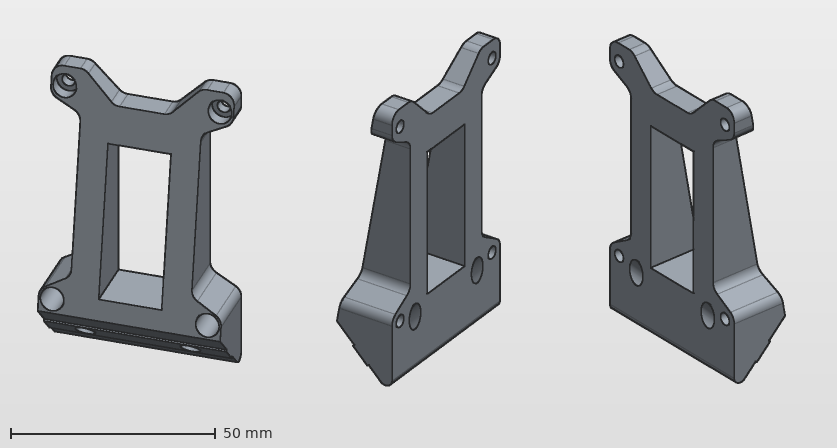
import cadquery as cq
import math

HEIGHT = 77.2
WIDTH = 47.0
HALF_WIDTH = WIDTH / 2
DEPTH = 16.3
CORNER_RADIUS = 3.0

FRONT_EDGE_Z = 13.5
FRONT_LEAN = math.radians(10)
TOE_RADIUS = (DEPTH - FRONT_EDGE_Z) / math.sqrt(2)

WAIST_HALF_WIDTH = 15.5
NOTCH_DEPTH = 8.0
NOTCH_FLOOR_HALF_WIDTH = 7.0
UPPER_ARM_OUTER_Z = 69.45
UPPER_ARM_INNER_Z = 65.5
LOWER_ARM_OUTER_Z = 19.1
LOWER_ARM_INNER_Z = 23.8

WINDOW_WIDTH = 16.2
WINDOW_BOTTOM_Z = 19.05
WINDOW_HEIGHT = 40.1

CORNER_HOLE_X = 20.0
LOWER_HOLE_Z = 17.1
UPPER_HOLE_Z = 72.1
SCREW_DIAMETER = 3.3
COUNTERBORE_DIAMETER = 6.0
SCREW_SEAT_THICKNESS = 3.0

RIB_CENTER_Z = 6.25
RIB_WIDTH = 6.0
RIB_HEIGHT = 0.5
MOUNT_HOLE_X = 13.5
MOUNT_HOLE_DIAMETER = 5.0


def make_wedge():
    """Side profile extruded over the full width, with a rounded toe."""
    top_depth = DEPTH - (HEIGHT - FRONT_EDGE_Z) * math.tan(FRONT_LEAN)
    profile = [
        (0, HEIGHT),
        (-top_depth, HEIGHT),
        (-DEPTH, FRONT_EDGE_Z),
        (0, FRONT_EDGE_Z - DEPTH),
    ]
    wedge = cq.Workplane("YZ").polyline(profile).close().extrude(HALF_WIDTH, both=True)
    return wedge.edges("<Z").fillet(TOE_RADIUS)


def make_outline():
    """Frontal silhouette with rounded arms and waist, reaching below the toe."""
    right_half = [
        (NOTCH_FLOOR_HALF_WIDTH, HEIGHT - NOTCH_DEPTH),
        (NOTCH_FLOOR_HALF_WIDTH + NOTCH_DEPTH, HEIGHT),
        (HALF_WIDTH, HEIGHT),
        (HALF_WIDTH, UPPER_ARM_OUTER_Z),
        (WAIST_HALF_WIDTH, UPPER_ARM_INNER_Z),
        (WAIST_HALF_WIDTH, LOWER_ARM_INNER_Z),
        (HALF_WIDTH, LOWER_ARM_OUTER_Z),
        (HALF_WIDTH, -DEPTH),
    ]
    left_half = [(-x, z) for x, z in reversed(right_half)]
    outline = cq.Workplane("XZ").polyline(right_half + left_half).close().extrude(DEPTH)
    above_front_edge = cq.selectors.BoxSelector(
        (-HEIGHT, -HEIGHT, 0), (HEIGHT, HEIGHT, 2 * HEIGHT)
    )
    return outline.edges("|Y").edges(above_front_edge).fillet(CORNER_RADIUS)


def make_window():
    """Rectangular through opening."""
    center_z = WINDOW_BOTTOM_Z + WINDOW_HEIGHT / 2
    return cq.Workplane("XZ").center(0, center_z).rect(WINDOW_WIDTH, WINDOW_HEIGHT).extrude(DEPTH)


def make_corner_holes():
    """Four screw holes whose counterbores leave equally thick seats at the back."""
    centers = [(x, z) for x in (-CORNER_HOLE_X, CORNER_HOLE_X) for z in (LOWER_HOLE_Z, UPPER_HOLE_Z)]
    screws = cq.Workplane("XZ").pushPoints(centers).circle(SCREW_DIAMETER / 2).extrude(DEPTH)
    counterbores = (
        cq.Workplane("XZ", origin=(0, -SCREW_SEAT_THICKNESS, 0))
        .pushPoints(centers)
        .circle(COUNTERBORE_DIAMETER / 2)
        .extrude(DEPTH)
    )
    return screws.union(counterbores)


def mounting_plane():
    """Plane on the 45 degree face at the rib center, with its normal pointing outward."""
    center_y = -(DEPTH - FRONT_EDGE_Z + RIB_CENTER_Z)
    return cq.Plane(origin=(0, center_y, RIB_CENTER_Z), xDir=(1, 0, 0), normal=(0, -1, -1))


def make_rib():
    """Shallow full-width rib, started inside the body so that it joins solidly."""
    return (
        cq.Workplane(mounting_plane())
        .workplane(offset=-RIB_HEIGHT)
        .rect(WIDTH, RIB_WIDTH)
        .extrude(2 * RIB_HEIGHT)
    )


def make_mount_holes():
    """Two holes square to the mounting face, through the rib and out of the back."""
    return (
        cq.Workplane(mounting_plane())
        .workplane(offset=RIB_HEIGHT)
        .pushPoints([(-MOUNT_HOLE_X, 0), (MOUNT_HOLE_X, 0)])
        .circle(MOUNT_HOLE_DIAMETER / 2)
        .extrude(-2 * DEPTH)
    )


body = make_wedge().intersect(make_outline()).union(make_rib())
result = body.cut(make_window()).cut(make_corner_holes()).cut(make_mount_holes())